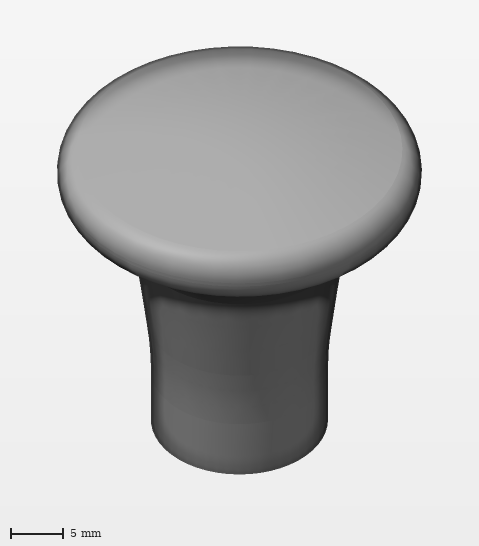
import cadquery as cq
import math

height = 35.0
head_radius = 17.5

foot_radius = 8.5
foot_height = 6.15
bend_top = 12.45
neck_height = 22.3
cone_angle = math.radians(7.9)
bend_arc_radius = (bend_top - foot_height) / math.sin(cone_angle)
bend_mid_radius = foot_radius + bend_arc_radius * (1 - math.cos(cone_angle / 2))
bend_mid_height = foot_height + bend_arc_radius * math.sin(cone_angle / 2)
bend_top_radius = foot_radius + bend_arc_radius * (1 - math.cos(cone_angle))
neck_radius = bend_top_radius + (neck_height - bend_top) * math.tan(cone_angle)

sweep_mid_radius = 12.05
sweep_mid_height = 25.55

rim_arc_radius = 2.6
rim_edge_radius = 15.65
band_bottom = 30.17
band_top = 30.55
arc_center_radius = head_radius - rim_arc_radius
arc_sweep = math.acos((rim_edge_radius - arc_center_radius) / rim_arc_radius)
arc_rise = rim_arc_radius * math.sin(arc_sweep)
rim_bottom = band_bottom - arc_rise
rim_top = band_top + arc_rise
rim_mid_radius = arc_center_radius + rim_arc_radius * math.cos(arc_sweep / 2)
rim_mid_rise = rim_arc_radius * math.sin(arc_sweep / 2)

dome_rise = height - rim_top
dome_sphere_radius = (rim_edge_radius**2 + dome_rise**2) / (2 * dome_rise)
dome_mid_radius = rim_edge_radius / 2
dome_mid_height = height - dome_sphere_radius + math.sqrt(dome_sphere_radius**2 - dome_mid_radius**2)

profile = (
    cq.Workplane("XZ")
    .lineTo(foot_radius, 0)
    .lineTo(foot_radius, foot_height)
    .threePointArc((bend_mid_radius, bend_mid_height), (bend_top_radius, bend_top))
    .lineTo(neck_radius, neck_height)
    .threePointArc((sweep_mid_radius, sweep_mid_height), (rim_edge_radius, rim_bottom))
    .threePointArc((rim_mid_radius, band_bottom - rim_mid_rise), (head_radius, band_bottom))
    .lineTo(head_radius, band_top)
    .threePointArc((rim_mid_radius, band_top + rim_mid_rise), (rim_edge_radius, rim_top))
    .threePointArc((dome_mid_radius, dome_mid_height), (0, height))
    .close()
)

result = profile.revolve(360, (0, 0, 0), (0, 1, 0))